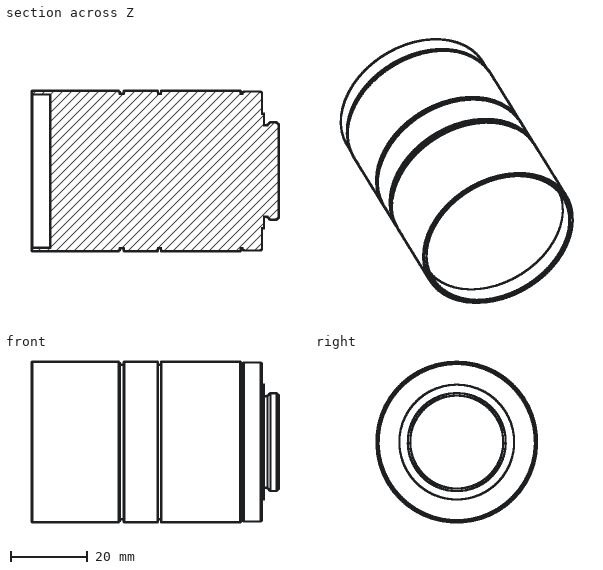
import cadquery as cq

total_length = 64.5
body_radius = 21.0
groove_radius = 20.2
edge_chamfer = 0.2

front_sleeve_end = 23.0
front_sleeve_rear_chamfer = 0.4
focus_ring_start = 24.0
focus_ring_end = 33.0
rear_sleeve_start = 33.7
rear_sleeve_end = 54.6

cap_radius = 20.8
cap_start = 55.0
cap_end = 60.15
cap_chamfer = 0.4

mount_length = 3.85
flange_end = total_length - mount_length
flange_radius = 15.0
neck_radius = 12.0
neck_length = 0.85
mount_radius = 12.8
mount_front_chamfer_length = mount_radius - neck_radius
mount_rear_chamfer = 0.65

recess_radius = 20.0
recess_depth = 4.8
recess_chamfer = 0.2


def cylinder(start, end, radius):
    """Solid cylinder on the X axis between two stations."""
    base = cq.Plane(origin=(start, 0, 0), xDir=(0, 0, 1), normal=(1, 0, 0))
    return cq.Workplane(base).circle(radius).extrude(end - start)


def sleeve(start, end, radius, front_chamfer, rear_chamfer):
    """Cylinder with both of its rims chamfered."""
    blank = cylinder(start, end, radius)
    return blank.faces("<X").chamfer(front_chamfer).faces(">X").chamfer(rear_chamfer)


def make_barrel():
    """Groove-diameter core carrying the three full-diameter sleeves and the rear cap."""
    core = cylinder(edge_chamfer, cap_start + cap_chamfer, groove_radius)
    front_sleeve = sleeve(0, front_sleeve_end, body_radius, edge_chamfer, front_sleeve_rear_chamfer)
    focus_ring = sleeve(focus_ring_start, focus_ring_end, body_radius, edge_chamfer, edge_chamfer)
    rear_sleeve = sleeve(rear_sleeve_start, rear_sleeve_end, body_radius, edge_chamfer, edge_chamfer)
    cap = sleeve(cap_start, cap_end, cap_radius, cap_chamfer, cap_chamfer)
    return core.union(front_sleeve).union(focus_ring).union(rear_sleeve).union(cap)


def make_mount():
    """Flange, relief neck and chamfered thread cylinder, revolved as one profile."""
    neck_end = flange_end + neck_length
    profile = (
        cq.Workplane("XZ")
        .moveTo(cap_start, 0)
        .lineTo(cap_start, flange_radius)
        .lineTo(flange_end, flange_radius)
        .lineTo(flange_end, neck_radius)
        .lineTo(neck_end, neck_radius)
        .lineTo(neck_end + mount_front_chamfer_length, mount_radius)
        .lineTo(total_length - mount_rear_chamfer, mount_radius)
        .lineTo(total_length, mount_radius - mount_rear_chamfer)
        .lineTo(total_length, 0)
        .close()
    )
    return profile.revolve(360, (0, 0, 0), (1, 0, 0))


def make_front_recess():
    """Blind round recess with a small chamfer at its mouth."""
    mouth_radius = recess_radius + recess_chamfer
    profile = (
        cq.Workplane("XZ")
        .lineTo(0, mouth_radius)
        .lineTo(recess_chamfer, recess_radius)
        .lineTo(recess_depth, recess_radius)
        .lineTo(recess_depth, 0)
        .close()
    )
    return profile.revolve(360, (0, 0, 0), (1, 0, 0))


result = make_barrel().union(make_mount()).cut(make_front_recess())